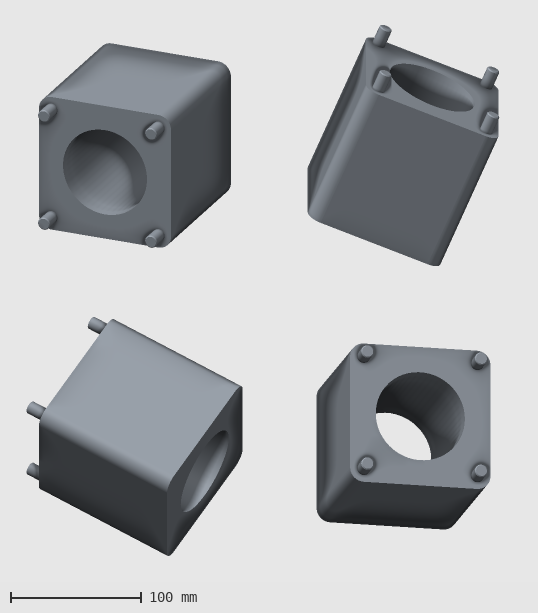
import cadquery as cq

side = 110.0
total_length = 130.0
pin_length = 15.0
corner_radius = 10.7
bore_diameter = 70.0
pin_diameter = 10.0
pin_spacing = 89.2
pin_chamfer = 0.8

body_length = total_length - pin_length
front_y = -total_length / 2 + pin_length

body = (
    cq.Workplane("XZ", origin=(0, front_y, 0))
    .rect(side, side)
    .extrude(-body_length)
    .edges("|Y")
    .fillet(corner_radius)
)

bore = cq.Workplane("XZ", origin=(0, front_y, 0)).circle(bore_diameter / 2).extrude(-body_length)

pins = (
    cq.Workplane("XZ", origin=(0, front_y, 0))
    .rect(pin_spacing, pin_spacing, forConstruction=True)
    .vertices()
    .circle(pin_diameter / 2)
    .extrude(pin_length)
    .faces("<Y")
    .edges()
    .chamfer(pin_chamfer)
)

result = body.cut(bore).union(pins)